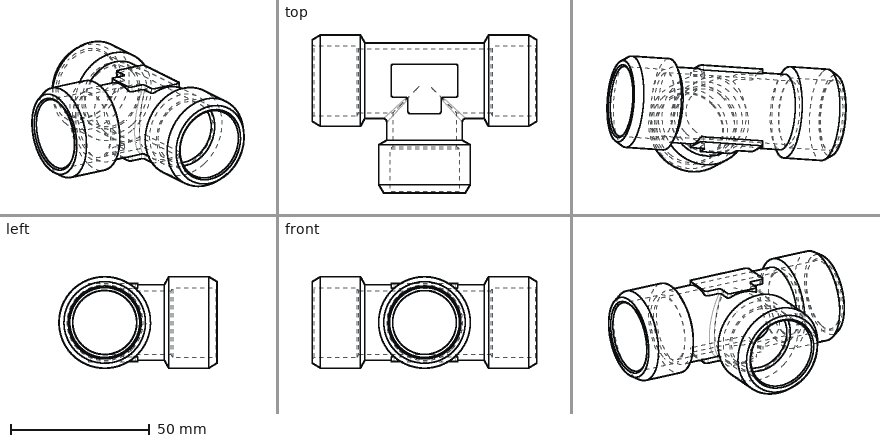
import cadquery as cq

arm_length = 40.5
pipe_diameter = 27.3
bore_diameter = 23.0
socket_diameter = 25.2
mouth_diameter = 26.3
socket_depth = 16.0
seat_length = 0.65
mouth_depth = 0.6
collar_diameter = 33.05
collar_length = 19.0
collar_end_diameter = 29.4
front_bevel_length = 3.0
back_bevel_length = 1.6
crotch_fillet = 1.3
seam_tolerance = 0.01

pad_half_length = 12.1
pad_half_width = 6.0
pad_stem_reach = 2 * pad_half_width
pad_height = 14.1
pad_corner_radius = 1.0

arm_directions = [(-1, 0, 0), (1, 0, 0), (0, -1, 0)]
pipe_radius = pipe_diameter / 2


def revolve_along(profile, direction):
    """Revolve a closed (radius, distance) profile about an arm axis."""
    plane = cq.Plane(origin=(0, 0, 0), xDir=(0, 0, 1), normal=direction)
    solid = cq.Workplane("XZ").polyline(profile).close().revolve(360, (0, 0, 0), (0, 1, 0))
    return cq.Workplane(obj=solid.val().moved(cq.Location(plane)))


def arm_pipe(direction):
    """Solid pipe from the junction centre to the arm end."""
    profile = [(0, 0), (pipe_radius, 0), (pipe_radius, arm_length), (0, arm_length)]
    return revolve_along(profile, direction)


def arm_collar(direction):
    """Thick end collar, bevelled at both ends."""
    collar_start = arm_length - collar_length
    profile = [
        (0, collar_start),
        (pipe_radius, collar_start),
        (collar_diameter / 2, collar_start + back_bevel_length),
        (collar_diameter / 2, arm_length - front_bevel_length),
        (collar_end_diameter / 2, arm_length),
        (0, arm_length),
    ]
    return revolve_along(profile, direction)


def arm_cavity(direction):
    """Bore with a wider tube socket, a conical seat and a bevelled mouth."""
    socket_floor = arm_length - socket_depth
    profile = [
        (0, 0),
        (bore_diameter / 2, 0),
        (bore_diameter / 2, socket_floor - seat_length),
        (socket_diameter / 2, socket_floor),
        (socket_diameter / 2, arm_length - mouth_depth),
        (mouth_diameter / 2, arm_length),
        (0, arm_length),
    ]
    return revolve_along(profile, direction)


def junction_pads():
    """T-shaped plate crossing the junction, forming both pads."""
    outline = [
        (-pad_half_length, pad_half_width),
        (pad_half_length, pad_half_width),
        (pad_half_length, -pad_half_width),
        (pad_half_width, -pad_half_width),
        (pad_half_width, -pad_stem_reach),
        (-pad_half_width, -pad_stem_reach),
        (-pad_half_width, -pad_half_width),
        (-pad_half_length, -pad_half_width),
    ]
    plate = cq.Workplane("XY").polyline(outline).close().extrude(pad_height, both=True)
    return plate.edges("|Z").fillet(pad_corner_radius)


def is_crotch_seam(edge):
    """True for the oblique seams where the branch pipe meets the run, clear of the pads."""
    center = edge.Center()
    on_diagonal = abs(abs(center.x) + center.y) < seam_tolerance
    return on_diagonal and center.y < -pad_half_width and edge.geomType() not in ("LINE", "CIRCLE")


body = arm_pipe(arm_directions[0])
for direction in arm_directions[1:]:
    body = body.union(arm_pipe(direction))
body = body.union(junction_pads())
body = body.edges().filter(is_crotch_seam).fillet(crotch_fillet)

for direction in arm_directions:
    body = body.union(arm_collar(direction))
for direction in arm_directions:
    body = body.cut(arm_cavity(direction))

result = body